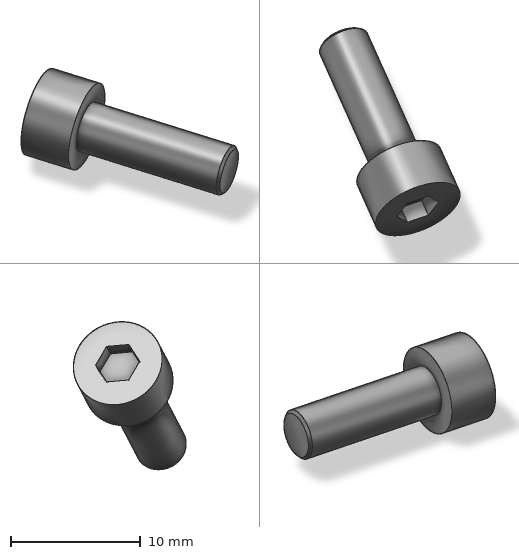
import cadquery as cq
import math

total_length = 16.0
head_diameter = 7.0
head_length = 4.0
shank_diameter = 4.0
tip_chamfer = 0.22
socket_across_flats = 3.0
socket_depth = 1.4

head_face_x = -total_length / 2
shank_length = total_length - head_length
socket_across_corners = socket_across_flats / math.cos(math.pi / 6)


def along_axis(start_x):
    """Workplane facing +X, centred on the screw axis; its local x is +Y."""
    return cq.Workplane("YZ", origin=(start_x, 0, 0))


head = along_axis(head_face_x).circle(head_diameter / 2).extrude(head_length)

shank = (
    along_axis(head_face_x + head_length)
    .circle(shank_diameter / 2)
    .extrude(shank_length)
    .faces(">X")
    .chamfer(tip_chamfer)
)

socket = along_axis(head_face_x).polygon(6, socket_across_corners).extrude(socket_depth)

result = head.union(shank).cut(socket)